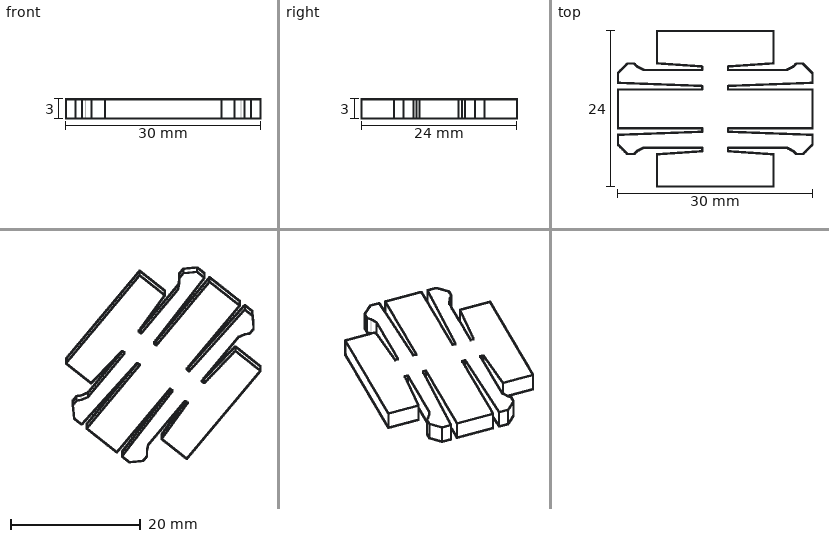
import cadquery as cq

length = 30.0
width = 24.0
thickness = 3.0

spine_half = 2.0
middle_block_half_width = 3.0
end_block_half_length = 9.0
end_block_tip_y = 7.0
end_block_root_y = 6.5

arm_inner_root_y = 3.5
arm_inner_tip_y = 4.0
arm_outer_y = 6.0
hook_start_x = 11.0
hook_bend_x = 12.0
hook_bend_y = 6.5
hook_peak_start_x = 12.5
hook_peak_y = 7.0
hook_chamfer = 1.5

half_length = length / 2
half_width = width / 2


def centered_block(size_x, size_y):
    return cq.Workplane("XY").box(size_x, size_y, thickness)


def quadrant_plate(points):
    """Extrude an outline that lies in the +X, +Y quadrant."""
    plate = cq.Workplane("XY").polyline(points).close().extrude(thickness)
    return plate.translate((0, 0, -thickness / 2))


def spring_arm():
    """Tapered arm ending in a hook that points away from the middle block."""
    return quadrant_plate([
        (0, arm_inner_root_y),
        (spine_half, arm_inner_root_y),
        (half_length, arm_inner_tip_y),
        (half_length, hook_peak_y - hook_chamfer),
        (half_length - hook_chamfer, hook_peak_y),
        (hook_peak_start_x, hook_peak_y),
        (hook_bend_x, hook_bend_y),
        (hook_start_x, arm_outer_y),
        (0, arm_outer_y),
    ])


def end_block_half():
    """Half of an end block, whose inner edge slopes away from the arm."""
    return quadrant_plate([
        (0, end_block_root_y),
        (spine_half, end_block_root_y),
        (end_block_half_length, end_block_tip_y),
        (end_block_half_length, half_width),
        (0, half_width),
    ])


quadrant = spring_arm().union(end_block_half())
upper_half = quadrant.union(quadrant.mirror("YZ"))
outer_parts = upper_half.union(upper_half.mirror("XZ"))

spine = centered_block(2 * spine_half, width)
middle_block = centered_block(length, 2 * middle_block_half_width)

result = spine.union(middle_block).union(outer_parts).clean()